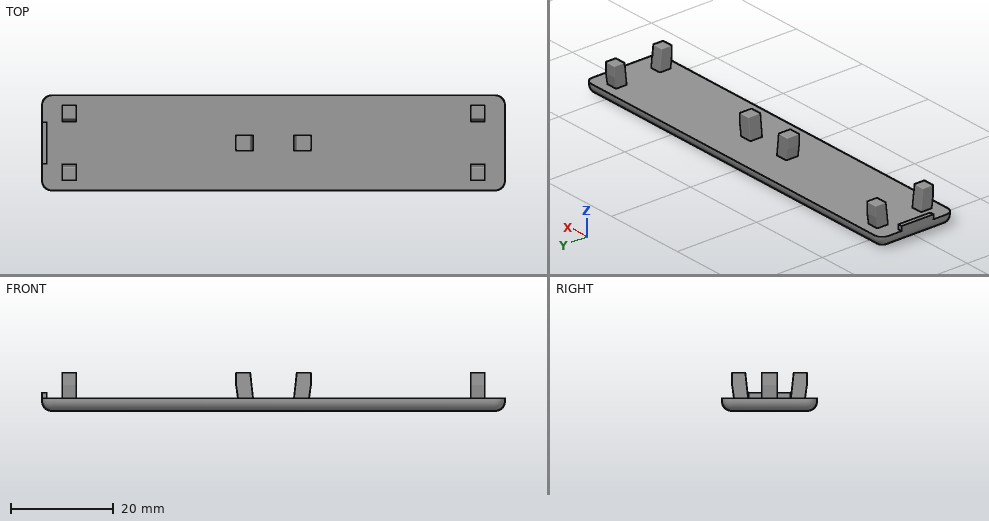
import cadquery as cq

LENGTH = 90.0
WIDTH = 18.5
PLATE_HEIGHT = 2.5
EDGE_RADIUS = 2.0
CORNER_RADIUS = 2.0

LIP_LENGTH = 8.1
LIP_THICKNESS = 1.0
LIP_TOP = 3.6

TOTAL_HEIGHT = 7.5
PEG_CREST_HEIGHT = 5.0
PEG_OUTER_FOOT = 6.9
PEG_OUTER_LEAN = 0.4
PEG_INNER_LEAN = 0.5
PEG_EDGE_RADIUS = 0.2
CENTRE_PEG_WIDTH = 3.1
CENTRE_PEG_INNER_FOOT = 4.0
CORNER_PEG_WIDTH = 2.8
CORNER_PEG_INNER_FOOT = 4.1
CORNER_PEG_X = 39.7


def make_plate():
    """Flat plate with rounded corners and a rounded lower edge."""
    plate = cq.Workplane("XY").box(LENGTH, WIDTH, PLATE_HEIGHT, centered=(True, True, False))
    return plate.edges("|Z").fillet(CORNER_RADIUS).faces("<Z").edges().fillet(EDGE_RADIUS)


def make_lip():
    """Low wall standing on the plate, flush with its -X edge."""
    lip_height = LIP_TOP - PLATE_HEIGHT
    lip = cq.Workplane("XY").box(LIP_THICKNESS, LIP_LENGTH, lip_height, centered=(False, True, False))
    return lip.translate((-LENGTH / 2, 0, PLATE_HEIGHT))


def make_peg(inner_foot, width):
    """Peg leaning outward along +X, centred on Y = 0, with rounded upright and tip edges."""
    crest = PEG_OUTER_FOOT + PEG_OUTER_LEAN
    profile = [
        (inner_foot, PLATE_HEIGHT),
        (PEG_OUTER_FOOT, PLATE_HEIGHT),
        (crest, PEG_CREST_HEIGHT),
        (crest, TOTAL_HEIGHT),
        (inner_foot + PEG_INNER_LEAN, TOTAL_HEIGHT),
    ]
    peg = cq.Workplane("XZ").polyline(profile).close().extrude(width / 2, both=True)
    return peg.edges("(not |Y) or >Z").edges("not <Z").fillet(PEG_EDGE_RADIUS)


def turned(shape, angle):
    return shape.rotate((0, 0, 0), (0, 0, 1), angle)


result = make_plate().union(make_lip())

centre_peg = make_peg(CENTRE_PEG_INNER_FOOT, CENTRE_PEG_WIDTH)
for angle in (0, 180):
    result = result.union(turned(centre_peg, angle))

corner_peg = make_peg(CORNER_PEG_INNER_FOOT, CORNER_PEG_WIDTH)
for angle in (90, -90):
    for x in (-CORNER_PEG_X, CORNER_PEG_X):
        result = result.union(turned(corner_peg, angle).translate((x, 0, 0)))